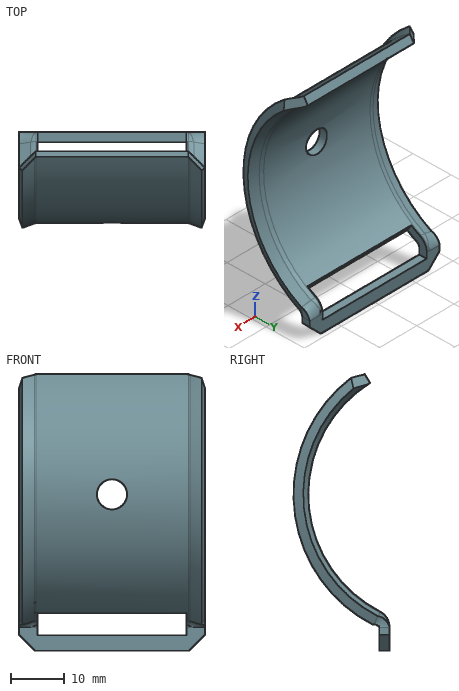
import cadquery as cq
import math

width = 35.0
height = 52.0
thickness = 2.0

outer_radius = 26.7
inner_radius = outer_radius - thickness
shell_front_y = -17.2
axis_y = shell_front_y + outer_radius
axis_z = 29.4
top_angle = math.degrees(math.asin((height - axis_z) / outer_radius))

flare_angle = 20.0
flare_start_x = 14.3
bend_radius = 1.0
back_bend_radius = bend_radius + thickness

foot_bend_radius = 1.3
foot_bend_back_radius = foot_bend_radius + thickness

slot_width = 28.0
slot_bottom_z = 2.95
slot_top_z = 7.0
foot_chamfer = 3.0
top_chamfer = 3.2
hole_diameter = 5.6
blend_steps = 4
cutter_depth = 20.8

bend_distance = inner_radius + foot_bend_back_radius
foot_angle = math.degrees(math.acos((axis_y + foot_bend_back_radius) / bend_distance))
foot_top_z = axis_z - bend_distance * math.sin(math.radians(foot_angle))


def section_plane(angle, center_y, center_z, back_offset):
    """Sheet section plane: local x is X, local y points outward, angle is below the horizontal."""
    cos_a = math.cos(math.radians(angle))
    sin_a = math.sin(math.radians(angle))
    origin = (0, center_y - back_offset * cos_a, center_z - back_offset * sin_a)
    return cq.Plane(origin=origin, xDir=(1, 0, 0), normal=(0, sin_a, -cos_a))


def half_section(workplane, start_x, flare):
    """Closed sheet section from start_x to the side edge, flared by the given angle."""
    edge_x = width / 2
    if flare == 0:
        bend_end_x = flare_start_x + back_bend_radius * math.sin(math.radians(flare_angle))
        return (
            workplane.moveTo(start_x, 0)
            .lineTo(flare_start_x, 0)
            .lineTo(bend_end_x, 0)
            .lineTo(edge_x, 0)
            .lineTo(edge_x, thickness)
            .lineTo(bend_end_x, thickness)
            .lineTo(flare_start_x, thickness)
            .lineTo(start_x, thickness)
            .close()
        )

    def on_bend(radius, angle):
        a = math.radians(angle)
        return flare_start_x + radius * math.sin(a), back_bend_radius - radius * math.cos(a)

    back_end = on_bend(back_bend_radius, flare)
    front_end = on_bend(bend_radius, flare)
    slope = math.radians(flare)
    back_edge = (edge_x, back_end[1] + (edge_x - back_end[0]) * math.tan(slope))
    front_edge = (
        back_edge[0] - thickness * math.sin(slope),
        back_edge[1] + thickness * math.cos(slope),
    )
    return (
        workplane.moveTo(start_x, 0)
        .lineTo(flare_start_x, 0)
        .threePointArc(on_bend(back_bend_radius, flare / 2), back_end)
        .lineTo(*back_edge)
        .lineTo(*front_edge)
        .lineTo(*front_end)
        .threePointArc(on_bend(bend_radius, flare / 2), (flare_start_x, thickness))
        .lineTo(start_x, thickness)
        .close()
    )


def make_half_shell():
    plane = section_plane(-top_angle, axis_y, axis_z, inner_radius)
    section = half_section(cq.Workplane(plane), 0, flare_angle)
    return section.revolve(top_angle + foot_angle, (0, -inner_radius), (1, -inner_radius))


def make_half_blend():
    """Strip beside the slot that turns into the foot while the flare fades out."""
    wires = []
    for step in range(blend_steps + 1):
        remaining = 1 - step / blend_steps
        plane = section_plane(
            foot_angle * remaining, -foot_bend_back_radius, foot_top_z, -foot_bend_back_radius
        )
        section = half_section(cq.Workplane(plane), slot_width / 2, flare_angle * remaining)
        wires.append(section.ctx.pendingWires[0])
    return cq.Workplane(cq.Solid.makeLoft(wires))


def make_foot():
    return (
        cq.Workplane("XY")
        .box(width, thickness, foot_top_z, centered=(True, False, False))
        .translate((0, -thickness, 0))
        .edges("|Y and <Z")
        .chamfer(foot_chamfer)
    )


def make_slot():
    """Opening bounded above by a radial cut through the shell and below by the foot bar."""
    slot_angle = math.degrees(math.asin((axis_z - slot_top_z) / outer_radius))
    radial_plane = section_plane(slot_angle, axis_y, axis_z, inner_radius)
    below_radial_plane = cq.Workplane(radial_plane).rect(slot_width, cutter_depth).extrude(cutter_depth)
    above_foot_bar = (
        cq.Workplane("XY", origin=(0, 0, slot_bottom_z))
        .rect(slot_width, 2 * cutter_depth)
        .extrude(cutter_depth)
    )
    return below_radial_plane.intersect(above_foot_bar)


def make_top_corner():
    """45 degree corner cutter, square to the shell at its top edge."""
    plane = section_plane(-top_angle, axis_y, axis_z, inner_radius)
    across = cq.Plane(origin=plane.origin.toTuple(), xDir=(1, 0, 0), normal=plane.yDir.toTuple())
    edge_x = width / 2
    return (
        cq.Workplane(across)
        .polyline([
            (edge_x - 2 * top_chamfer, top_chamfer),
            (edge_x + top_chamfer, top_chamfer),
            (edge_x + top_chamfer, -2 * top_chamfer),
        ])
        .close()
        .extrude(cutter_depth / 2, both=True)
    )


def make_hole():
    return (
        cq.Workplane("XZ", origin=(0, 0, axis_z))
        .circle(hole_diameter / 2)
        .extrude(cutter_depth)
    )


half_shell = make_half_shell().cut(make_top_corner())
half_blend = make_half_blend()
shell = half_shell.union(half_shell.mirror("YZ")).cut(make_slot()).cut(make_hole())
foot = make_foot().cut(make_slot())
result = shell.union(foot).union(half_blend).union(half_blend.mirror("YZ"))